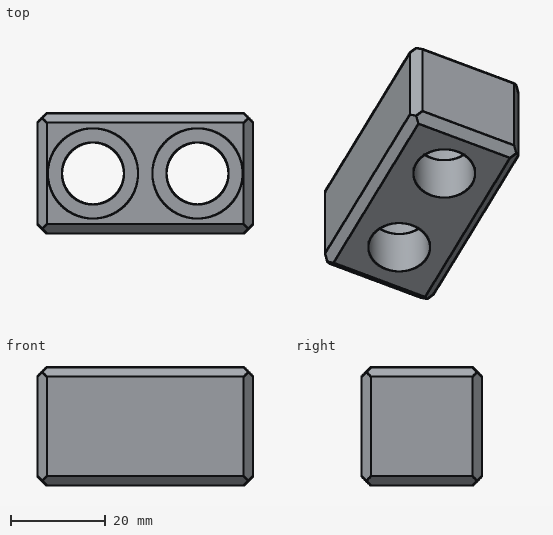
import cadquery as cq

length = 45.5
width = 25.4
height = 25.0
edge_chamfer = 2.0

hole_spacing = 22.0
bore_diameter = 19.0
bore_depth = 12.35
through_diameter = 13.0


def prism_chamfered_along(axis):
    """Full-size block with only the four edges parallel to the axis chamfered."""
    prism = cq.Workplane("XY").box(length, width, height)
    return prism.edges("|" + axis).chamfer(edge_chamfer)


block = prism_chamfered_along("X")
for axis in ("Y", "Z"):
    block = block.intersect(prism_chamfered_along(axis))

result = (
    block.faces(">Z")
    .workplane(origin=(0, 0, height / 2))
    .rarray(hole_spacing, 0.45, 2, 1)
    .cboreHole(through_diameter, bore_diameter, bore_depth)
)